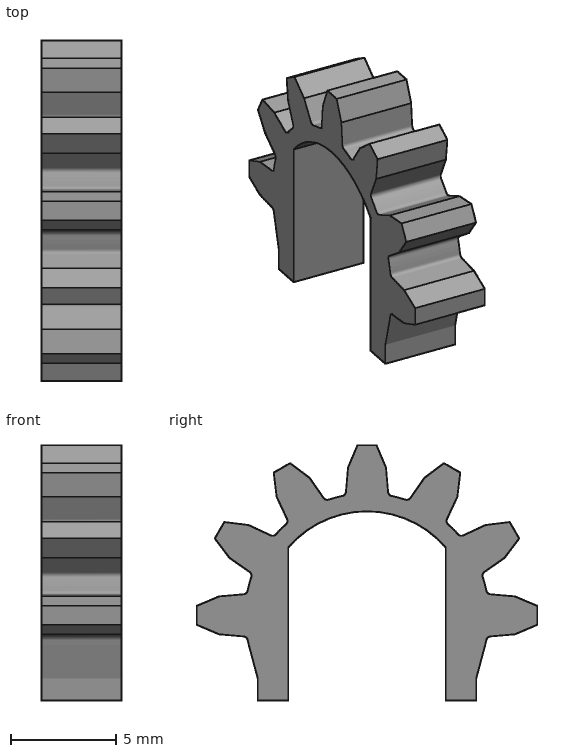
import cadquery as cq
import math

width = 3.8
tip_radius = 8.09
tooth_count = 7
tooth_pitch = 30.0

tip_half_width = 0.45
shoulder_half_width = 0.9
shoulder_height = 7.02
base_half_width = 1.02

root_radius = 5.8
root_flat_pitch = 2.1
root_fillet = 0.21

leg_bottom = -4.05
leg_outer = 5.2
slot_half_width = 3.74
crown_radius = 4.93

gap_angle = math.radians(tooth_pitch / 2)
half_flat_angle = math.radians(root_flat_pitch / 2)
side_flat_angle = gap_angle - 2 * half_flat_angle
flat_edge_angle = gap_angle - half_flat_angle

base_height = (root_radius - base_half_width * math.sin(side_flat_angle)) / math.cos(side_flat_angle)
flat_edge_radius = root_radius / math.cos(half_flat_angle)
flat_edge_offset = flat_edge_radius * math.sin(flat_edge_angle)
flat_edge_height = flat_edge_radius * math.cos(flat_edge_angle)

leg_top = (leg_outer * math.cos(gap_angle) - root_radius) / math.sin(gap_angle)
crown_end = math.sqrt(crown_radius**2 - slot_half_width**2)


def tooth_points(angle):
    """Outline of one tooth, clockwise, with its axis at the given angle from +Y."""
    right_side = [
        (tip_half_width, tip_radius),
        (shoulder_half_width, shoulder_height),
        (base_half_width, base_height),
        (flat_edge_offset, flat_edge_height),
    ]
    left_side = [(-offset, height) for offset, height in reversed(right_side)]
    turn = math.radians(angle)
    points = []
    for offset, height in left_side + right_side:
        y = height * math.cos(turn) + offset * math.sin(turn)
        z = height * math.sin(turn) - offset * math.cos(turn)
        points.append((y, z))
    return points


def gear_outline():
    """Outer outline from the foot of the -Y leg, over the teeth, to the foot of the +Y leg."""
    points = [(-leg_outer, leg_bottom), (-leg_outer, leg_top)]
    for index in range(tooth_count):
        points += tooth_points(180.0 - index * tooth_pitch)
    return points + [(leg_outer, leg_top), (leg_outer, leg_bottom)]


def is_root_corner(edge):
    """True for an edge along X that lies where a flank meets a root flat."""
    middle = edge.Center()
    distance = math.hypot(middle.y, middle.z)
    return math.isclose(distance, math.hypot(base_half_width, base_height), abs_tol=0.002)


body = (
    cq.Workplane("YZ")
    .polyline(gear_outline())
    .lineTo(slot_half_width, leg_bottom)
    .lineTo(slot_half_width, crown_end)
    .threePointArc((0, crown_radius), (-slot_half_width, crown_end))
    .lineTo(-slot_half_width, leg_bottom)
    .close()
    .extrude(width / 2, both=True)
)

root_corners = [edge for edge in body.edges("|X").vals() if is_root_corner(edge)]
result = body.newObject(root_corners).fillet(root_fillet)